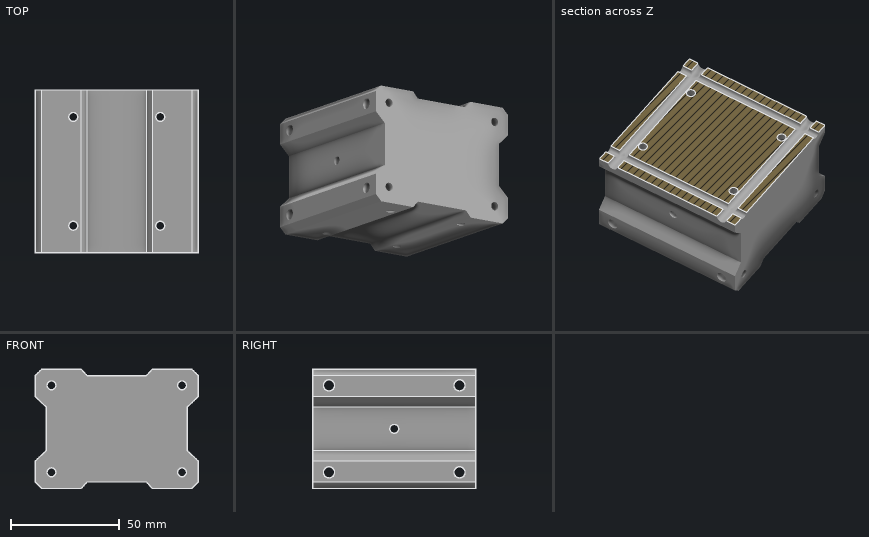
import cadquery as cq

width = 75.0
length = 75.0
height = 55.0
corner_chamfer = 3.0

top_channel_depth = 3.0
top_channel_mouth = 32.7
top_channel_floor = 27.3

side_channel_depth = 5.0
side_channel_mouth = 29.6
side_channel_floor = 20.0

small_hole = 4.0
large_hole = 5.0
wide_spacing = 60.0
narrow_spacing = 40.0
top_spacing_y = 50.0


def quarter_outline():
    """Outline points of the +X +Z quarter, from the side channel to the top channel."""
    x = width / 2
    z = height / 2
    return [
        (x - side_channel_depth, side_channel_floor / 2),
        (x, side_channel_mouth / 2),
        (x, z - corner_chamfer),
        (x - corner_chamfer, z),
        (top_channel_mouth / 2, z),
        (top_channel_floor / 2, z - top_channel_depth),
    ]


def profile_outline():
    """Mirror the quarter outline about both axes into one closed loop."""
    quarter = quarter_outline()
    right_to_top = quarter
    top_to_left = [(-x, z) for x, z in reversed(quarter)]
    left_to_bottom = [(-x, -z) for x, z in quarter]
    bottom_to_right = [(x, -z) for x, z in reversed(quarter)]
    return right_to_top + top_to_left + left_to_bottom + bottom_to_right


def hole_grid(plane, spacing_u, spacing_v, diameter, depth):
    """Four through holes at the corners of a rectangle centred on the plane."""
    return (
        cq.Workplane(plane)
        .rect(spacing_u, spacing_v, forConstruction=True)
        .vertices()
        .circle(diameter / 2)
        .extrude(depth / 2, both=True)
    )


body = cq.Workplane("XZ").polyline(profile_outline()).close().extrude(length / 2, both=True)

end_holes = hole_grid("XZ", wide_spacing, narrow_spacing, small_hole, length)
top_holes = hole_grid("XY", narrow_spacing, top_spacing_y, small_hole, height)
side_holes = hole_grid("YZ", wide_spacing, narrow_spacing, large_hole, width)
side_center_hole = cq.Workplane("YZ").circle(small_hole / 2).extrude(width / 2, both=True)

result = body.cut(end_holes).cut(top_holes).cut(side_holes).cut(side_center_hole)